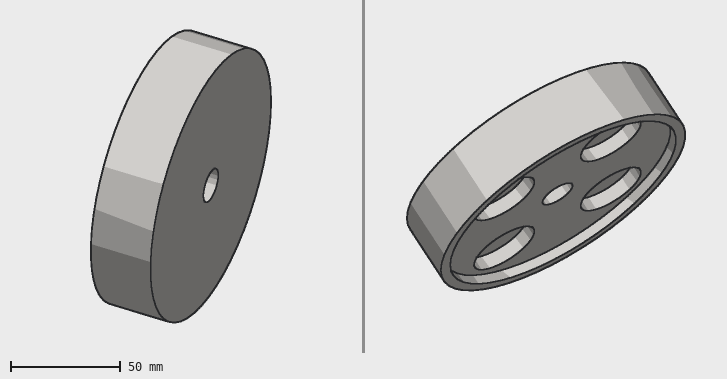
import cadquery as cq

outer_diameter = 130.0
width = 30.0

recess_diameter = 120.0
recess_depth = 5.0

pocket_count = 4
pocket_diameter = 32.0
pocket_depth = 7.0
pocket_circle_radius = 40.0
first_pocket_angle = 45.0

axle_hole_diameter = 16.0

near_face_x = -width / 2
recess_floor_x = near_face_x + recess_depth


def disc(start_x, diameter, length):
    """Cylinder along X, starting at start_x."""
    return cq.Workplane("YZ", origin=(start_x, 0, 0)).circle(diameter / 2).extrude(length)


def pockets():
    """Equally spaced cylinders that cut the pockets."""
    return (
        cq.Workplane("YZ", origin=(recess_floor_x, 0, 0))
        .polarArray(pocket_circle_radius, first_pocket_angle, 360, pocket_count)
        .circle(pocket_diameter / 2)
        .extrude(pocket_depth)
    )


wheel = disc(near_face_x, outer_diameter, width)
wheel = wheel.cut(disc(near_face_x, recess_diameter, recess_depth))
wheel = wheel.cut(pockets())
wheel = wheel.cut(disc(near_face_x, axle_hole_diameter, width))

result = wheel